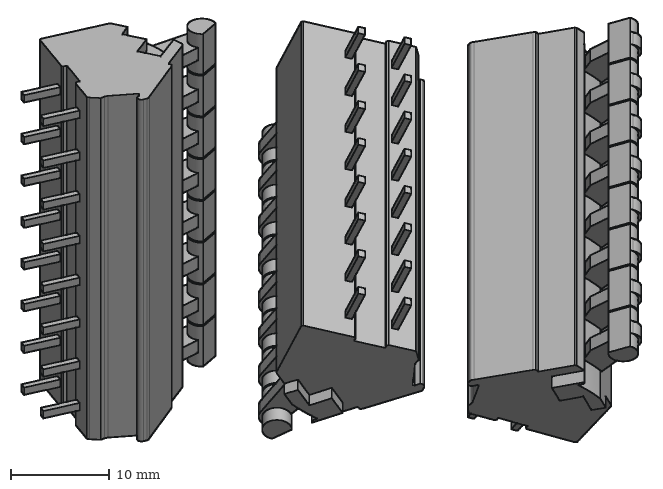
import cadquery as cq
import math

total_height = 42.3
interlock_depth = 1.4
housing_height = total_height - interlock_depth

pole_count = 8
end_wall = 0.95
pole_pitch = (housing_height - end_wall) / pole_count
first_pole_z = 2.8
pole_heights = [first_pole_z + i * pole_pitch for i in range(pole_count)]

housing_depth = 15.0
back_height = 7.85
shoulder_x = 2.62
shoulder_y = back_height + shoulder_x
back_edge_radius = 0.35
foot_chamfer = 0.15
channel_left, channel_right = 5.7, 9.4
channel_depth = 0.55
foot_end = 12.48
latch_tip_x, latch_tip_y = 5.5, 12.55
tongue_left = 1.3

pin_width = 0.7
pin_thickness = 0.9
pin_length = 4.0
pin_root = 0.85
pin_columns = [5.08, 10.05]

lever_thickness = 1.52
handle_length = 4.82
handle_x, handle_y = 3.17, 16.7
handle_radius = 1.52
lever_top = handle_y + handle_radius
flat_end_x = 4.6
flat_end_y = handle_y - math.sqrt(handle_radius**2 - (flat_end_x - handle_x) ** 2)


def make_housing():
    """Extrude the housing section, with the channel between the two feet."""
    body = (
        cq.Workplane("XY")
        .moveTo(0, foot_chamfer)
        .lineTo(0, back_height)
        .lineTo(shoulder_x, shoulder_y)
        .threePointArc((4.05, 11.15), (5.8, 11.75))
        .lineTo(5.5, 12.1)
        .threePointArc((5.4, 12.3), (latch_tip_x, latch_tip_y))
        .lineTo(6.6, 13.03)
        .lineTo(6.85, 13.0)
        .lineTo(9.6, 10.25)
        .lineTo(10.0, 10.45)
        .lineTo(10.25, 10.3)
        .lineTo(14.75, 5.9)
        .threePointArc((14.95, 5.7), (housing_depth, 5.5))
        .lineTo(housing_depth, 5.08)
        .threePointArc((14.95, 4.82), (14.68, 4.65))
        .lineTo(14.42, 4.65)
        .lineTo(14.0, 5.1)
        .lineTo(13.8, 5.1)
        .lineTo(12.95, 2.05)
        .lineTo(12.95, 1.65)
        .lineTo(13.05, 1.23)
        .lineTo(foot_end, foot_chamfer)
        .lineTo(foot_end - foot_chamfer, 0)
        .lineTo(channel_right, 0)
        .lineTo(channel_right - foot_chamfer, foot_chamfer)
        .lineTo(channel_right - foot_chamfer, channel_depth)
        .lineTo(channel_left + foot_chamfer, channel_depth)
        .lineTo(channel_left + foot_chamfer, foot_chamfer)
        .lineTo(channel_left, 0)
        .lineTo(foot_chamfer, 0)
        .close()
        .extrude(housing_height)
    )
    back_edge = cq.selectors.NearestToPointSelector((0, back_height, housing_height / 2))
    return body.edges("|Z").edges(back_edge).fillet(back_edge_radius)


def make_interlock_prism():
    """Prism over the W-shaped interlock region, open past the lever seat."""
    return (
        cq.Workplane("XY")
        .moveTo(tongue_left, 9.25)
        .lineTo(2.45, 8.15)
        .lineTo(4.35, 10.05)
        .lineTo(6.15, 8.25)
        .lineTo(7.95, 10.05)
        .lineTo(latch_tip_x, latch_tip_y)
        .lineTo(tongue_left, latch_tip_y)
        .close()
        .extrude(interlock_depth)
    )


def make_pin(x, z):
    """Rectangular pin reaching from inside a foot down along -Y."""
    return (
        cq.Workplane("XY")
        .box(pin_width, pin_length + pin_root, pin_thickness, centered=(True, False, True))
        .translate((x, -pin_length, z))
    )


def make_lever(z):
    """Lever plate rooted in the housing, carrying a flat-sided round handle."""
    plate = (
        cq.Workplane("XY")
        .moveTo(2.45, 10.15)
        .lineTo(1.3, 16.5)
        .threePointArc((1.7, 17.75), (2.88, lever_top))
        .lineTo(handle_x, lever_top)
        .lineTo(flat_end_x, flat_end_y)
        .lineTo(4.35, 15.78)
        .lineTo(5.25, 13.4)
        .lineTo(5.1, 12.0)
        .lineTo(5.6, 11.5)
        .close()
        .extrude(lever_thickness / 2, both=True)
    )
    handle = (
        cq.Workplane("XY")
        .moveTo(handle_x, lever_top)
        .threePointArc((handle_x - handle_radius, handle_y), (flat_end_x, flat_end_y))
        .close()
        .extrude(handle_length / 2, both=True)
    )
    return plate.union(handle).translate((0, 0, z))


housing = make_housing()
interlock = make_interlock_prism()

tongue = housing.intersect(interlock).translate((0, 0, -interlock_depth))
groove = interlock.translate((0, 0, housing_height - interlock_depth))
result = housing.union(tongue).cut(groove)

for pole_z in pole_heights:
    result = result.union(make_lever(pole_z))
    for pin_x in pin_columns:
        result = result.union(make_pin(pin_x, pole_z))